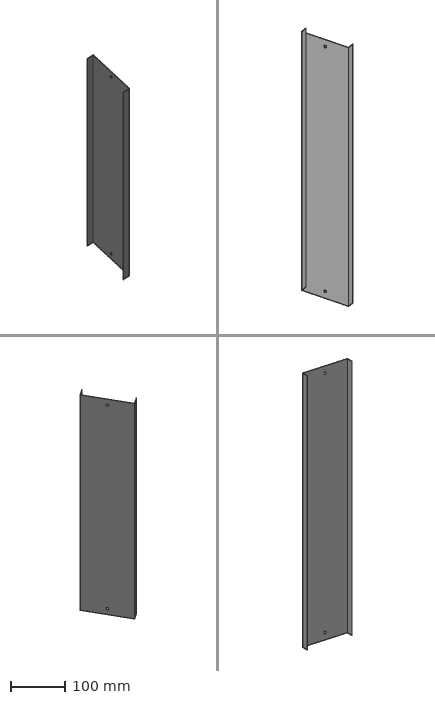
import cadquery as cq

width = 103.0
depth = 14.5
height = 560.0
thickness = 0.6

hole_diameter = 5.0
hole_end_distance = 15.0
hole_spacing = height - 2 * hole_end_distance


def make_channel():
    """Square-cornered sheet channel, open toward -Y, centred on the origin."""
    outer = cq.Workplane("XY").box(width, depth, height)
    inner = (
        cq.Workplane("XY")
        .box(width - 2 * thickness, depth, height)
        .translate((0, -thickness, 0))
    )
    return outer.cut(inner)


def make_holes():
    """Cutters through the web, one near each end."""
    return (
        cq.Workplane("XZ")
        .rarray(5.5, hole_spacing, 1, 2)
        .circle(hole_diameter / 2)
        .extrude(depth, both=True)
    )


result = make_channel().cut(make_holes())